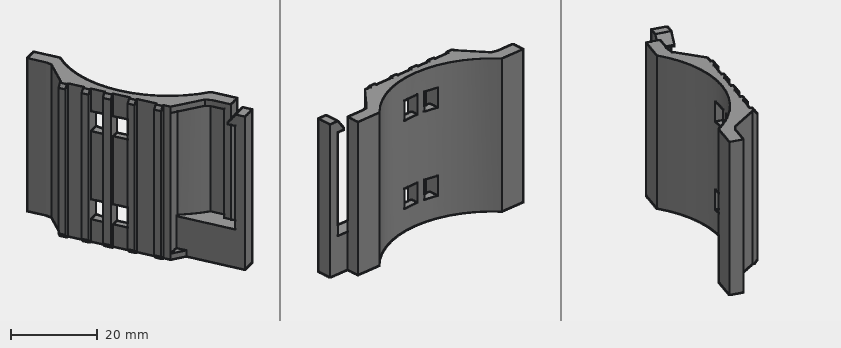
import cadquery as cq

HEIGHT = 40.0
BODY_WIDTH = 52.0
CENTRE_X = BODY_WIDTH / 2

FLANGE_DEPTH = 3.5
FACE_DEPTH = 10.5
FACE_HALF_WIDTH = 14.0
WALL = 2.0
SADDLE_RADIUS = 26.0
SADDLE_CENTRE_Y = SADDLE_RADIUS + WALL - FACE_DEPTH

BEND_OUTER = 21.15
BEND_INNER = 19.6
BEND_DEPTH = 3.9

RIBS = [(12.0, 1.75), (17.9, 1.75), (23.3, 2.05), (29.65, 1.75), (36.4, 1.75)]
RIB_HEIGHT = 1.25
RIB_DEPTH = FACE_DEPTH + RIB_HEIGHT
RIB_CHAMFER_Y = 0.75
RIB_CHAMFER_Z = 1.0

WINDOW_HEIGHT = 5.2
WINDOW_PITCH = 23.0

POCKET_LEFT = CENTRE_X + FACE_HALF_WIDTH
POCKET_RIGHT = 50.25
POCKET_MARGIN = 1.65
POCKET_BACK_DEPTH = 2.0

CLIP_OVERHANG = 5.5
CLIP_RIGHT = BODY_WIDTH + CLIP_OVERHANG
CLIP_THICKNESS = 4.0
CLIP_DEPTH = FLANGE_DEPTH + CLIP_THICKNESS
FOOT_HEIGHT = 10.0
ARM_WIDTH = 2.5
HOOK_REACH = 1.95
HOOK_HEIGHT = 3.0
HOOK_TIP_HEIGHT = 0.4


def box(x_min, x_max, depth_min, depth_max, z_min, z_max):
    """Box between two X limits, two depths from the back and two heights."""
    size = (x_max - x_min, depth_max - depth_min, z_max - z_min)
    return cq.Workplane("XY").box(*size, centered=False).translate((x_min, -depth_max, z_min))


def saddle_cylinder(radius):
    """Full-height cylinder on the saddle axis."""
    return cq.Workplane("XY").center(CENTRE_X, SADDLE_CENTRE_Y).circle(radius).extrude(HEIGHT)


def make_body():
    """Flanged trapezoidal block, still without its saddle."""
    profile = (
        cq.Workplane("XY")
        .moveTo(0, 0)
        .lineTo(0, -FLANGE_DEPTH)
        .lineTo(CENTRE_X - BEND_OUTER, -FLANGE_DEPTH)
        .lineTo(CENTRE_X - BEND_INNER, -BEND_DEPTH)
        .lineTo(CENTRE_X - FACE_HALF_WIDTH, -FACE_DEPTH)
        .lineTo(CENTRE_X + FACE_HALF_WIDTH, -FACE_DEPTH)
        .lineTo(CENTRE_X + BEND_INNER, -BEND_DEPTH)
        .lineTo(CENTRE_X + BEND_OUTER, -FLANGE_DEPTH)
        .lineTo(BODY_WIDTH, -FLANGE_DEPTH)
        .lineTo(BODY_WIDTH, 0)
        .close()
    )
    return profile.extrude(HEIGHT)


def make_rib(left, width):
    """Vertical rib whose front edge is chamfered at the top and bottom."""
    side_profile = [
        (-FACE_DEPTH, 0),
        (RIB_CHAMFER_Y - RIB_DEPTH, 0),
        (-RIB_DEPTH, RIB_CHAMFER_Z),
        (-RIB_DEPTH, HEIGHT - RIB_CHAMFER_Z),
        (RIB_CHAMFER_Y - RIB_DEPTH, HEIGHT),
        (-FACE_DEPTH, HEIGHT),
    ]
    return cq.Workplane("YZ", origin=(left, 0, 0)).polyline(side_profile).close().extrude(width)


def cut_windows(part):
    """Two rows of through windows in the gaps on both sides of the middle rib."""
    middle = len(RIBS) // 2
    for gap in (middle - 1, middle):
        left_edge, left_width = RIBS[gap]
        gap_start = left_edge + left_width
        gap_end = RIBS[gap + 1][0]
        for row in (-1, 1):
            bottom = HEIGHT / 2 + row * WINDOW_PITCH / 2 - WINDOW_HEIGHT / 2
            part = part.cut(box(gap_start, gap_end, 0, FACE_DEPTH, bottom, bottom + WINDOW_HEIGHT))
    return part


def make_pocket():
    """Hollow cut into the slope that leaves a constant wall in front of the saddle."""
    hollow = box(
        POCKET_LEFT, POCKET_RIGHT, POCKET_BACK_DEPTH, FACE_DEPTH, POCKET_MARGIN, HEIGHT - POCKET_MARGIN
    )
    return hollow.cut(saddle_cylinder(SADDLE_RADIUS + WALL))


def make_foot():
    """Block that fills the lower pocket and reaches out to carry the arm."""
    filling = box(POCKET_LEFT, POCKET_RIGHT, POCKET_BACK_DEPTH, CLIP_DEPTH, 0, FOOT_HEIGHT)
    bracket = box(POCKET_LEFT, CLIP_RIGHT, FLANGE_DEPTH, CLIP_DEPTH, 0, FOOT_HEIGHT)
    return filling.union(bracket)


def make_arm():
    """Upright spring arm with a hook at its top, pointing back at the body."""
    inner = CLIP_RIGHT - ARM_WIDTH
    tip = inner - HOOK_REACH
    hook_bottom = HEIGHT - HOOK_HEIGHT
    profile = [
        (CLIP_RIGHT, 0),
        (CLIP_RIGHT, HEIGHT),
        (inner, HEIGHT),
        (tip, hook_bottom + HOOK_TIP_HEIGHT),
        (tip, hook_bottom),
        (inner, hook_bottom),
        (inner, 0),
    ]
    arm_plane = cq.Workplane("XZ", origin=(0, -FLANGE_DEPTH, 0))
    return arm_plane.polyline(profile).close().extrude(CLIP_THICKNESS)


body = cut_windows(make_body())
for rib_left, rib_width in RIBS:
    body = body.union(make_rib(rib_left, rib_width))
body = body.cut(make_pocket()).union(make_foot()).union(make_arm())

result = body.cut(saddle_cylinder(SADDLE_RADIUS))